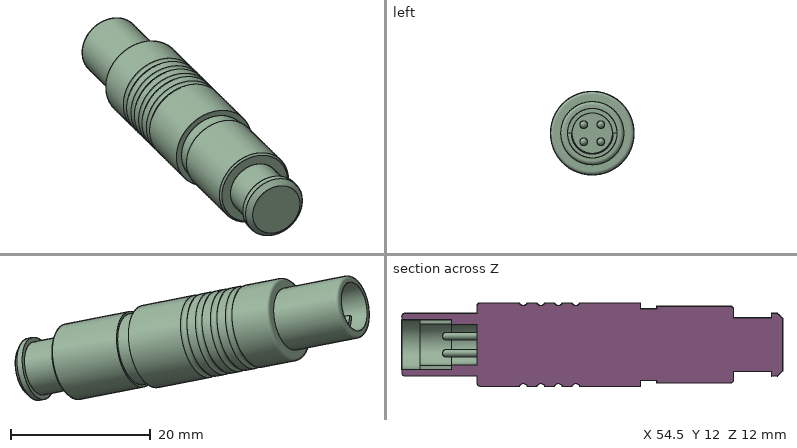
import cadquery as cq

nose_length = 10.75
nose_radius = 4.5
rim_fillet = 0.5

grip_end = 34.15
grip_radius = 6.0
first_groove_start = 16.85
groove_pitch = 2.5
groove_count = 4
groove_width = 1.1
groove_depth = 0.4

neck_end = 36.45
neck_radius = 5.2
sleeve_end = 47.45
sleeve_radius = 5.5
sleeve_chamfer = 0.25

total_length = 54.5
tail_radius = 3.85
flange_start = 52.85
flange_radius = nose_radius
flange_chamfer = 0.75

mouth_radius = 3.55
mouth_depth = 7.1
key_start = 2.6
key_inner_radius = 3.0
insert_radius = 2.9
insert_depth = nose_length

pin_radius = 0.55
pin_spacing = 2.45
pin_tip = 5.85


def cylinder(start, end, radius):
    """Solid cylinder on the X axis between two stations."""
    return cq.Workplane("YZ").workplane(offset=start).circle(radius).extrude(end - start)


def groove(start):
    """Ring cutter with an arc-shaped section."""
    middle = start + groove_width / 2
    section = (
        cq.Workplane("XY")
        .moveTo(start, grip_radius)
        .threePointArc((middle, grip_radius - groove_depth), (start + groove_width, grip_radius))
        .close()
    )
    return section.revolve(360, (0, 0, 0), (1, 0, 0))


def key_shell():
    """Lower half of a tube lining the mouth of the socket."""
    tube = cylinder(key_start, mouth_depth, mouth_radius)
    upper_half = cq.Workplane("XY").box(
        mouth_depth, 2 * mouth_radius, mouth_radius, centered=(False, True, False)
    ).translate((key_start, 0, 0))
    return tube.cut(cylinder(key_start, mouth_depth, key_inner_radius)).cut(upper_half)


def pin(y, z):
    """Round-tipped contact standing on the socket floor."""
    shoulder = pin_tip + pin_radius
    shank = cylinder(shoulder, insert_depth, pin_radius)
    tip = cq.Workplane("XY").sphere(pin_radius).translate((shoulder, 0, 0))
    return shank.union(tip).translate((0, y, z))


nose = cylinder(0, nose_length, nose_radius).faces("<X").edges().fillet(rim_fillet)
grip = cylinder(nose_length, grip_end, grip_radius).faces("<X").edges().fillet(rim_fillet)
for i in range(groove_count):
    grip = grip.cut(groove(first_groove_start + i * groove_pitch))

neck = cylinder(grip_end, neck_end, neck_radius)
sleeve = cylinder(neck_end, sleeve_end, sleeve_radius).faces(">X").edges().chamfer(sleeve_chamfer)
tail = cylinder(sleeve_end, flange_start, tail_radius)
flange = cylinder(flange_start, total_length, flange_radius).faces(">X").edges().chamfer(flange_chamfer)

body = nose.union(grip).union(neck).union(sleeve).union(tail).union(flange)
body = body.cut(cylinder(0, mouth_depth, mouth_radius))
body = body.cut(cylinder(mouth_depth, insert_depth, insert_radius))
body = body.union(key_shell())
for y in (-pin_spacing / 2, pin_spacing / 2):
    for z in (-pin_spacing / 2, pin_spacing / 2):
        body = body.union(pin(y, z))

result = body